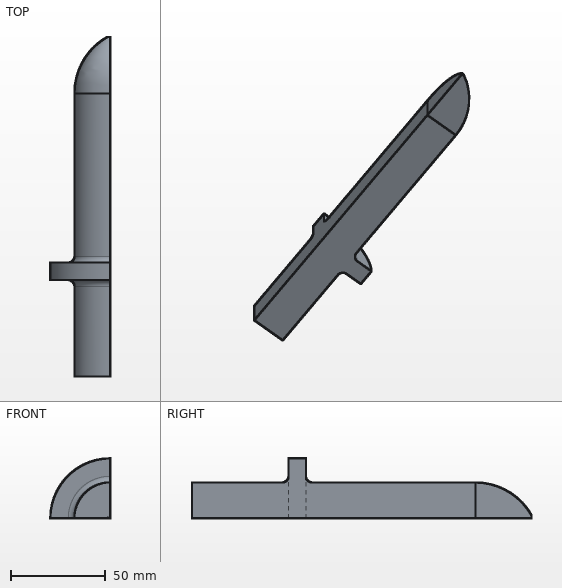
import cadquery as cq
import math

overall_length = 179.4
shaft_radius = 19.0
nose_length = 29.8
tip_radius = 1.6
flange_radius = 31.8
flange_thickness = 9.3
flange_start = 51.0
fillet_radius = 3.2
sector_angle = 90.0

nose_start = overall_length - nose_length
flange_end = flange_start + flange_thickness
nose_drop = shaft_radius - tip_radius
ogive_radius = (nose_drop**2 + nose_length**2) / (2 * nose_drop)


def revolve_quarter(profile):
    """Sweep a profile on the -X side of the Y axis up to the +Z side."""
    return profile.close().revolve(sector_angle, (0, 0, 0), (0, 1, 0))


def make_shaft():
    """Quarter-round shaft with a flange blended into it on both faces."""
    fillet_corner = fillet_radius * (1 - math.sqrt(0.5))
    blend_radius = shaft_radius + fillet_radius
    blend_middle = shaft_radius + fillet_corner
    profile = (
        cq.Workplane("XY")
        .lineTo(-shaft_radius, 0)
        .lineTo(-shaft_radius, flange_start - fillet_radius)
        .threePointArc((-blend_middle, flange_start - fillet_corner), (-blend_radius, flange_start))
        .lineTo(-flange_radius, flange_start)
        .lineTo(-flange_radius, flange_end)
        .lineTo(-blend_radius, flange_end)
        .threePointArc((-blend_middle, flange_end + fillet_corner), (-shaft_radius, flange_end + fillet_radius))
        .lineTo(-shaft_radius, nose_start)
        .lineTo(0, nose_start)
    )
    return revolve_quarter(profile)


def make_nose():
    """Quarter-round ogive, tangent to the shaft and ending in a small flat tip."""
    half_angle = math.asin(nose_length / ogive_radius) / 2
    arc_middle = (
        -shaft_radius + ogive_radius * (1 - math.cos(half_angle)),
        nose_start + ogive_radius * math.sin(half_angle),
    )
    profile = (
        cq.Workplane("XY")
        .moveTo(0, nose_start)
        .lineTo(-shaft_radius, nose_start)
        .threePointArc(arc_middle, (-tip_radius, overall_length))
        .lineTo(0, overall_length)
    )
    return revolve_quarter(profile)


shaft = make_shaft()
nose = make_nose()

result = cq.Compound.makeCompound([shaft.val(), nose.val()])